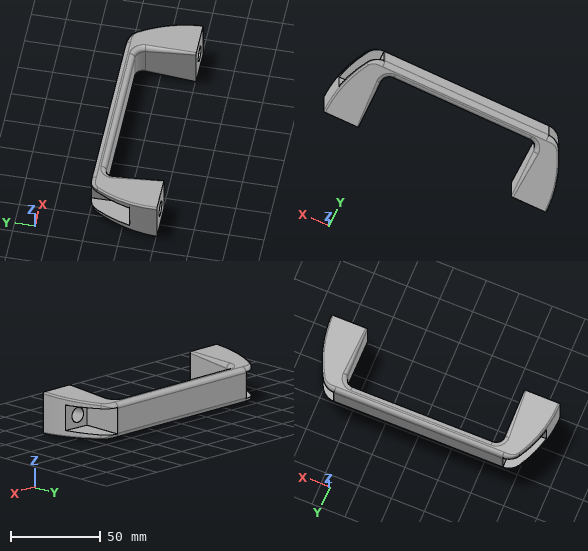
import cadquery as cq
import math

LENGTH = 138.94
HEIGHT = 40.89
FOOT_WIDTH = 24.61
SIDE_DRAFT = 3.0

INNER_SPAN = 95.2
GRIP_THICKNESS = 7.0
INNER_CORNER_RADIUS = 5.0
OUTER_CORNER_RADIUS = 10.0
OUTER_CORNER_CENTRE_X = 51.0
LEG_ARC_RADIUS = 70.0

FOOT_EDGE_RADIUS = 1.0
INNER_LEG_EDGE_RADIUS = 2.7
GRIP_EDGE_RADIUS = 3.0

HOLE_SPACING = 117.0
HOLE_DIAMETER = 8.7
POCKET_WALL_X = 51.4
POCKET_SEAT_Y = 16.8
SEAT_DRAFT = 3.0
POCKET_SEAT_WIDTH = 14.8
POCKET_TOP_WIDTH = 15.4

TOLERANCE = 0.01

half_length = LENGTH / 2
half_span = INNER_SPAN / 2
grip_inner_y = HEIGHT - GRIP_THICKNESS
corner_centre = cq.Vector(OUTER_CORNER_CENTRE_X, HEIGHT - OUTER_CORNER_RADIUS)


def leg_arc_geometry():
    """Centre of the leg arc, which passes through the foot's outer corner and is tangent to the grip corner."""
    foot = cq.Vector(half_length, 0)
    centre_distance = LEG_ARC_RADIUS - OUTER_CORNER_RADIUS
    to_corner = corner_centre - foot
    gap = to_corner.Length
    along = (LEG_ARC_RADIUS**2 - centre_distance**2 + gap**2) / (2 * gap)
    across = math.sqrt(LEG_ARC_RADIUS**2 - along**2)
    unit = to_corner / gap
    return foot + unit * along + cq.Vector(-unit.y, unit.x) * across


def arc_point(centre, radius, angle):
    return centre.x + radius * math.cos(angle), centre.y + radius * math.sin(angle)


leg_centre = leg_arc_geometry()
foot_angle = math.atan2(-leg_centre.y, half_length - leg_centre.x)
tangent_angle = math.atan2(corner_centre.y - leg_centre.y, corner_centre.x - leg_centre.x)
leg_top = arc_point(corner_centre, OUTER_CORNER_RADIUS, tangent_angle)
leg_middle = arc_point(leg_centre, LEG_ARC_RADIUS, (foot_angle + tangent_angle) / 2)
corner_middle = arc_point(corner_centre, OUTER_CORNER_RADIUS, (tangent_angle + math.pi / 2) / 2)
inner_corner_centre = cq.Vector(half_span - INNER_CORNER_RADIUS, grip_inner_y - INNER_CORNER_RADIUS)
inner_corner_middle = arc_point(inner_corner_centre, INNER_CORNER_RADIUS, math.pi / 4)


def mirrored(point):
    return -point[0], point[1]


def handle_profile():
    """Closed outline of the handle in the XY plane, starting at the outer corner of the +X foot."""
    inner_leg_top = (half_span, inner_corner_centre.y)
    inner_grip_end = (inner_corner_centre.x, grip_inner_y)
    grip_end = (OUTER_CORNER_CENTRE_X, HEIGHT)
    return (
        cq.Workplane("XY")
        .moveTo(half_length, 0)
        .threePointArc(leg_middle, leg_top)
        .threePointArc(corner_middle, grip_end)
        .lineTo(*mirrored(grip_end))
        .threePointArc(mirrored(corner_middle), mirrored(leg_top))
        .threePointArc(mirrored(leg_middle), (-half_length, 0))
        .lineTo(-half_span, 0)
        .lineTo(*mirrored(inner_leg_top))
        .threePointArc(mirrored(inner_corner_middle), mirrored(inner_grip_end))
        .lineTo(*inner_grip_end)
        .threePointArc(inner_corner_middle, inner_leg_top)
        .lineTo(half_span, 0)
        .close()
    )


def drafted_handle():
    """Profile extruded across Z and trimmed to the wedge between the two leaning sides."""
    block = handle_profile().extrude(FOOT_WIDTH / 2, both=True)
    foot_half = FOOT_WIDTH / 2
    top_half = foot_half - HEIGHT * math.tan(math.radians(SIDE_DRAFT))
    wedge = (
        cq.Workplane("YZ")
        .polyline([(0, -foot_half), (HEIGHT, -top_half), (HEIGHT, top_half), (0, foot_half)])
        .close()
        .extrude(LENGTH, both=True)
    )
    return block.intersect(wedge).solids().val()


def rounding_radius(point):
    """Rounding radius at a profile corner: small on the feet and outer leg faces, full along the grip."""
    on_foot = point.y < TOLERANCE
    on_outer_leg = abs(point.x) > leg_top[0] - TOLERANCE
    on_inner_leg = abs(abs(point.x) - half_span) < TOLERANCE
    if on_foot or on_outer_leg:
        return FOOT_EDGE_RADIUS
    if on_inner_leg:
        return INNER_LEG_EDGE_RADIUS
    return GRIP_EDGE_RADIUS


def is_grip_edge(edge, grip_y):
    """True for the straight edges that run along the grip at this height on the two flat sides."""
    centre = edge.Center()
    return abs(centre.y - grip_y) < TOLERANCE and abs(centre.x) < TOLERANCE and abs(centre.z) > TOLERANCE


def rim_vertices(body, grip_edge):
    """Corners of the outer or inner rim, on one flat side, that contains this grip edge."""
    centre = grip_edge.Center()
    is_outer_rim = centre.y > grip_inner_y + TOLERANCE
    for vertex in body.Vertices():
        lies_outside = abs(vertex.X) > half_span + TOLERANCE
        if lies_outside == is_outer_rim and vertex.Z * centre.z > 0:
            yield vertex


def round_rims(body):
    """Round the rims of both flat sides with a radius that changes smoothly from corner to corner."""
    rounding = cq.occ_impl.shapes.BRepFilletAPI_MakeFillet(body.wrapped)
    for grip_y in (HEIGHT, grip_inner_y):
        for edge in body.Edges():
            if not is_grip_edge(edge, grip_y):
                continue
            rounding.Add(edge.wrapped)
            rim = rounding.NbContours()
            for vertex in rim_vertices(body, edge):
                rounding.SetRadius(rounding_radius(vertex.Center()), rim, vertex.wrapped)
    return cq.Workplane(cq.Shape.cast(rounding.Shape())).solids()


def screw_pocket():
    """Pocket on the +X leg, running from the sloping screw seat out through the back and outer face."""
    reach = half_length - POCKET_WALL_X
    seat_outer_y = POCKET_SEAT_Y - reach * math.tan(math.radians(SEAT_DRAFT))
    plan = (
        cq.Workplane("XY")
        .polyline(
            [
                (POCKET_WALL_X, POCKET_SEAT_Y),
                (half_length, seat_outer_y),
                (half_length, HEIGHT),
                (POCKET_WALL_X, HEIGHT),
            ]
        )
        .close()
        .extrude(POCKET_TOP_WIDTH, both=True)
    )
    seat_half = POCKET_SEAT_WIDTH / 2
    top_half = POCKET_TOP_WIDTH / 2
    side_walls = (
        cq.Workplane("YZ")
        .polyline(
            [
                (seat_outer_y, -seat_half),
                (HEIGHT, -top_half),
                (HEIGHT, top_half),
                (seat_outer_y, seat_half),
            ]
        )
        .close()
        .extrude(half_length)
    )
    return plan.intersect(side_walls)


def screw_holes():
    """Cylinders rising from the foot faces to the screw seats."""
    return (
        cq.Workplane("XZ")
        .pushPoints([(-HOLE_SPACING / 2, 0), (HOLE_SPACING / 2, 0)])
        .circle(HOLE_DIAMETER / 2)
        .extrude(-POCKET_SEAT_Y)
    )


pocket = screw_pocket()
handle = round_rims(drafted_handle())
handle = handle.cut(pocket).cut(pocket.mirror("YZ"))
result = handle.cut(screw_holes())